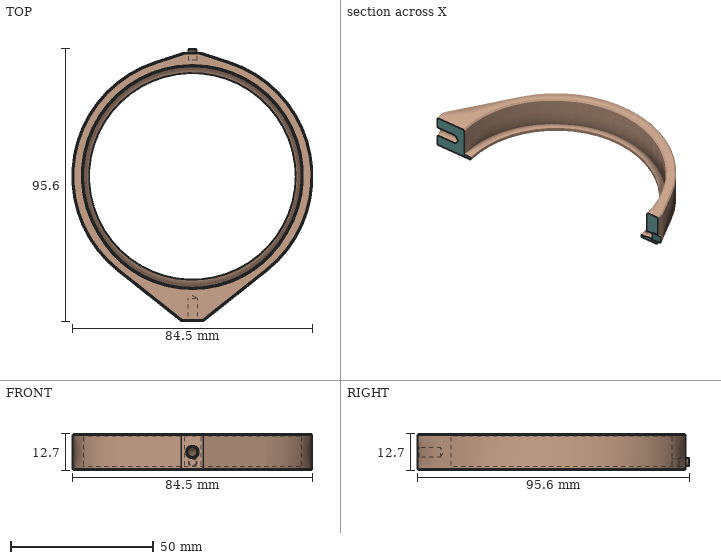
import cadquery as cq
import math

HEIGHT = 12.7
OUTER_RADIUS = 42.25
FOOT_DISTANCE = 50.85
FOOT_HALF_WIDTH = 3.9
PAD_DISTANCE = 43.5
PAD_HALF_WIDTH = 2.9
RIM_CHAMFER = 0.5

BORE_RADIUS = 38.35
BORE_CENTER_Y = 0.25
RELIEF_RADIUS = 37.35
RELIEF_CENTER_Y = -1.75
BORE_CHAMFER = 0.55
LIP_RADIUS = 36.25
LIP_THICKNESS = 1.3

MOUNT_HOLE_RADIUS = 1.7
MOUNT_HOLE_MOUTH_RADIUS = 2.25
MOUNT_HOLE_DEPTH = 8.0
DRILL_POINT_ANGLE = 118.0

SCREW_RADIUS = 1.5
SCREW_HEIGHT = 2.8
SCREW_PROTRUSION = 1.25
SCREW_CHAMFER = 0.3
SCREW_SEAT_DISTANCE = 41.0
SCREW_PASSAGE_RADIUS = 1.2


def tangent_point(corner_x, corner_y):
    """Where the line from a corner with positive X touches the outer circle."""
    corner_angle = math.atan2(corner_y, corner_x)
    swing = math.acos(OUTER_RADIUS / math.hypot(corner_x, corner_y))
    angle = corner_angle - math.copysign(swing, corner_y)
    return OUTER_RADIUS * math.cos(angle), OUTER_RADIUS * math.sin(angle)


def mirrored(point):
    return -point[0], point[1]


def make_blank():
    """Outer outline of the ring, extruded, with both rims chamfered."""
    foot_corner = (FOOT_HALF_WIDTH, -FOOT_DISTANCE)
    pad_corner = (PAD_HALF_WIDTH, PAD_DISTANCE)
    foot_tangent = tangent_point(*foot_corner)
    pad_tangent = tangent_point(*pad_corner)
    return (
        cq.Workplane("XY")
        .moveTo(*mirrored(foot_corner))
        .lineTo(*foot_corner)
        .lineTo(*foot_tangent)
        .threePointArc((OUTER_RADIUS, 0), pad_tangent)
        .lineTo(*pad_corner)
        .lineTo(*mirrored(pad_corner))
        .lineTo(*mirrored(pad_tangent))
        .threePointArc((-OUTER_RADIUS, 0), mirrored(foot_tangent))
        .close()
        .extrude(HEIGHT)
        .faces("<Z or >Z")
        .edges()
        .chamfer(RIM_CHAMFER)
    )


def make_round_recess(radius, center_y):
    """Round space from the lip to the top face, widened by the chamfer at its mouth."""
    recess = (
        cq.Workplane("XZ")
        .moveTo(0, LIP_THICKNESS)
        .lineTo(radius, LIP_THICKNESS)
        .lineTo(radius, HEIGHT - BORE_CHAMFER)
        .lineTo(radius + BORE_CHAMFER, HEIGHT)
        .lineTo(0, HEIGHT)
        .close()
        .revolve(360, (0, 0), (0, 1))
    )
    return recess.translate((0, center_y, 0))


def make_mount_hole():
    """Countersunk blind hole running toward +Y from the middle of the foot."""
    mouth_depth = MOUNT_HOLE_MOUTH_RADIUS - MOUNT_HOLE_RADIUS
    point_depth = MOUNT_HOLE_RADIUS / math.tan(math.radians(DRILL_POINT_ANGLE / 2))
    profile = (
        cq.Workplane("XY")
        .moveTo(0, 0)
        .lineTo(MOUNT_HOLE_MOUTH_RADIUS, 0)
        .lineTo(MOUNT_HOLE_RADIUS, mouth_depth)
        .lineTo(MOUNT_HOLE_RADIUS, MOUNT_HOLE_DEPTH)
        .lineTo(0, MOUNT_HOLE_DEPTH + point_depth)
        .close()
    )
    return profile.revolve(360, (0, 0), (0, 1)).translate((0, -FOOT_DISTANCE, HEIGHT / 2))


def screw_axis_cylinder(radius, start, end):
    """Cylinder on the set screw axis between two distances from the ring axis."""
    plane = cq.Plane(origin=(0, start, SCREW_HEIGHT), xDir=(1, 0, 0), normal=(0, 1, 0))
    return cq.Workplane(plane).circle(radius).extrude(end - start)


def make_ring():
    screw_seat = screw_axis_cylinder(SCREW_RADIUS, SCREW_SEAT_DISTANCE, PAD_DISTANCE)
    screw_passage = screw_axis_cylinder(SCREW_PASSAGE_RADIUS, LIP_RADIUS, SCREW_SEAT_DISTANCE)
    return (
        make_blank()
        .cut(cq.Workplane("XY").circle(LIP_RADIUS).extrude(HEIGHT))
        .cut(make_round_recess(BORE_RADIUS, BORE_CENTER_Y))
        .cut(make_round_recess(RELIEF_RADIUS, RELIEF_CENTER_Y))
        .cut(make_mount_hole())
        .cut(screw_seat)
        .cut(screw_passage)
    )


def make_set_screw():
    outer_end = PAD_DISTANCE + SCREW_PROTRUSION
    return (
        screw_axis_cylinder(SCREW_RADIUS, SCREW_SEAT_DISTANCE, outer_end)
        .faces(">Y")
        .chamfer(SCREW_CHAMFER)
    )


ring = make_ring()
set_screw = make_set_screw()

result = cq.Compound.makeCompound([ring.val(), set_screw.val()])